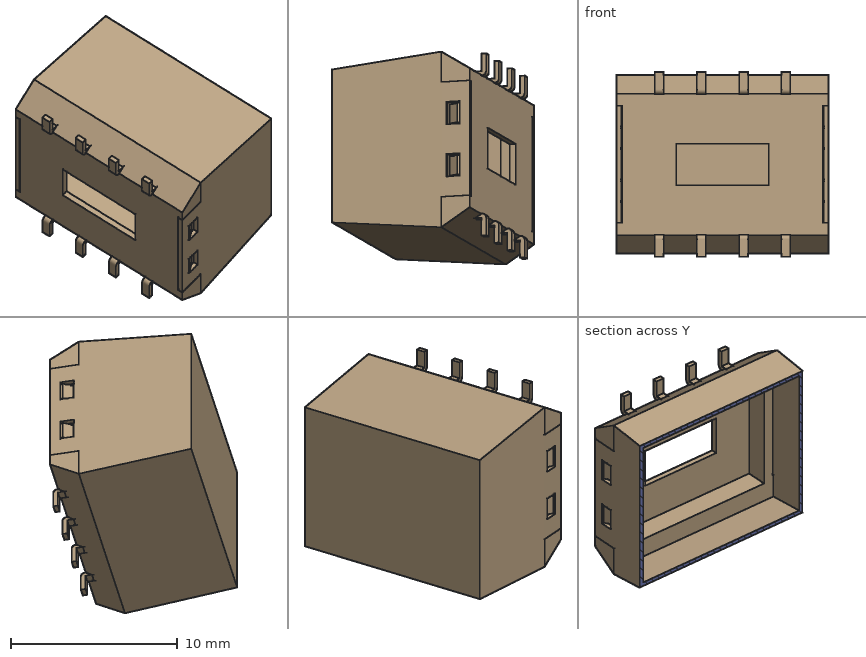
import cadquery as cq
import math


WIDTH = 12.75
PIN_SPAN = 11.1
BASE_DEPTH = 1.78
CASE_BACK = 8.7
JOINT_HEIGHT = 10.74
FACE_HEIGHT = 8.49
BACK_WIDTH = 12.67
BACK_HEIGHT = 9.35

SIDE_WALL = 0.29
END_WALL = 0.29
BACK_WALL = 0.29

PLATE_THICKNESS = 0.38
BASE_CAVITY_WIDTH = 10.71
BASE_CAVITY_HEIGHT = 7.65
OPENING_WIDTH = 5.55
OPENING_HEIGHT = 2.5

TAB_HEIGHT = 7.01
TAB_GAP = 0.05
WINDOW_HEIGHT = 1.38
WINDOW_FRONT = 0.64
WINDOW_BACK = 1.48
WINDOW_PITCH = 3.19
WINDOW_HEIGHTS = (-WINDOW_PITCH / 2, WINDOW_PITCH / 2)

LATCH_HEIGHT = 1.17
LATCH_PEAK = 0.79
LATCH_CLEARANCE = 0.04
LATCH_BACK = 1.38
LATCH_NOSE_DROP = 0.04

PIN_COUNT = 4
PIN_PITCH = 2.54
PIN_WIDTH = 0.55
LEG_THICKNESS = 0.29
ARM_THICKNESS = 0.27
ARM_SPAN = 8.44
PIN_STANDOFF = 0.01
PIN_EMBED = 1.02

SIDES = (-1, 1)
RECESS_DEPTH = SIDE_WALL + TAB_GAP
RECESS_FLOOR = WIDTH / 2 - RECESS_DEPTH


def block(x_range, y_range, z_range):
    """Box between the given limits."""
    sizes = [high - low for low, high in (x_range, y_range, z_range)]
    return cq.Workplane("XY").box(*sizes, centered=False).translate((x_range[0], y_range[0], z_range[0]))


def centered_block(width, y_range, height):
    """Box centred on X = 0 and Z = 0."""
    return block((-width / 2, width / 2), y_range, (-height / 2, height / 2))


def frustum(y_front, front_size, y_back, back_size):
    """Solid between two centred rectangles (width, height) at different Y."""
    return (
        cq.Workplane("XZ", origin=(0, y_front, 0))
        .rect(*front_size)
        .workplane(offset=y_front - y_back)
        .rect(*back_size)
        .loft(ruled=True)
    )


def side_block(side, thickness, y_range, height, z_center=0.0):
    """Box of a given thickness just inside the outer side at +X or -X."""
    x_range = sorted((side * WIDTH / 2, side * (WIDTH / 2 - thickness)))
    return block(x_range, y_range, (z_center - height / 2, z_center + height / 2))


def make_case():
    shell = frustum(BASE_DEPTH, (WIDTH, JOINT_HEIGHT), CASE_BACK, (BACK_WIDTH, BACK_HEIGHT))
    cavity = frustum(
        BASE_DEPTH,
        (WIDTH - 2 * SIDE_WALL, JOINT_HEIGHT - 2 * END_WALL),
        CASE_BACK,
        (BACK_WIDTH - 2 * SIDE_WALL, BACK_HEIGHT - 2 * END_WALL),
    )
    back_wall = centered_block(WIDTH, (CASE_BACK - BACK_WALL, CASE_BACK), JOINT_HEIGHT)
    case = shell.cut(cavity.cut(back_wall))
    for side in SIDES:
        tab = side_block(side, SIDE_WALL, (0, BASE_DEPTH), TAB_HEIGHT)
        for z in WINDOW_HEIGHTS:
            tab = tab.cut(side_block(side, SIDE_WALL, (WINDOW_FRONT, WINDOW_BACK), WINDOW_HEIGHT, z))
        case = case.union(tab)
    return case


def make_latch(side, z):
    """Wedge with a ramp that rises from the recess floor toward the base face."""
    peak = WIDTH / 2 - LATCH_CLEARANCE
    profile = [
        (side * RECESS_FLOOR, LATCH_BACK),
        (side * peak, LATCH_PEAK),
        (side * (peak - LATCH_NOSE_DROP), WINDOW_FRONT),
        (side * RECESS_FLOOR, WINDOW_FRONT),
    ]
    return cq.Workplane("XY", origin=(0, 0, z - LATCH_HEIGHT / 2)).polyline(profile).close().extrude(LATCH_HEIGHT)


def make_base(pins):
    base = frustum(0, (WIDTH, FACE_HEIGHT), BASE_DEPTH, (WIDTH, JOINT_HEIGHT))
    base = base.cut(centered_block(BASE_CAVITY_WIDTH, (PLATE_THICKNESS, BASE_DEPTH), BASE_CAVITY_HEIGHT))
    base = base.cut(centered_block(OPENING_WIDTH, (0, PLATE_THICKNESS), OPENING_HEIGHT))
    for side in SIDES:
        base = base.cut(side_block(side, RECESS_DEPTH, (0, BASE_DEPTH), TAB_HEIGHT))
        for z in WINDOW_HEIGHTS:
            base = base.union(make_latch(side, z))
    for pin in pins:
        base = base.cut(pin)
    return base


def make_pin(x, side):
    """L-shaped pin: an arm set in the base and a leg turned outward along Z."""
    arm_inner = side * ARM_SPAN / 2
    arm_outer = arm_inner + side * ARM_THICKNESS
    tip = side * PIN_SPAN / 2
    leg_back = -PIN_STANDOFF
    leg_front = leg_back - LEG_THICKNESS
    bend_radius = ARM_THICKNESS
    bend_middle = bend_radius * (1 - math.sqrt(0.5))
    return (
        cq.Workplane("YZ", origin=(x - PIN_WIDTH / 2, 0, 0))
        .moveTo(PIN_EMBED, arm_inner)
        .lineTo(leg_front + bend_radius, arm_inner)
        .threePointArc((leg_front + bend_middle, arm_inner + side * bend_middle), (leg_front, arm_outer))
        .lineTo(leg_front, tip)
        .lineTo(leg_back, tip)
        .lineTo(leg_back, arm_outer)
        .lineTo(PIN_EMBED, arm_outer)
        .close()
        .extrude(PIN_WIDTH)
    )


pins = []
for side in SIDES:
    for index in range(PIN_COUNT):
        pins.append(make_pin((index - (PIN_COUNT - 1) / 2) * PIN_PITCH, side))

base = make_base(pins)
case = make_case()

result = cq.Compound.makeCompound([base.val(), case.val(), *[pin.val() for pin in pins]])